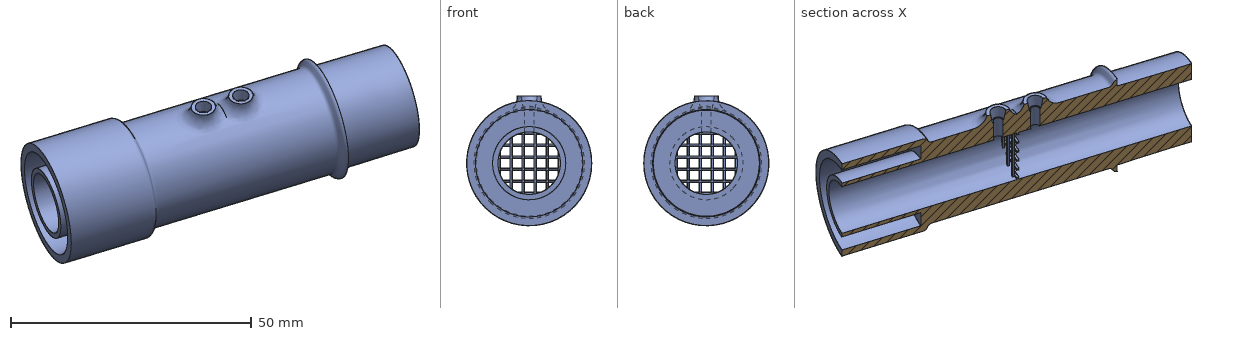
import cadquery as cq
import math

length = 80.0
body_radius = 23.0 / 2
bore_radius = 13.0 / 2

min_flank = 0.001

collar_radius = 26.06 / 2
collar_length = 18.5
collar_edge_radius = 1.2
collar_root_radius = 1.0
collar_step = collar_radius - body_radius
collar_arc_sum = collar_edge_radius + collar_root_radius
collar_blend_length = math.sqrt(2 * collar_step * collar_arc_sum - collar_step**2)
socket_radius = 22.36 / 2
socket_depth = 18.0
inner_tube_radius = 15.23 / 2

spigot_length = 17.0
spigot_tip_radius = 22.1 / 2
spigot_root_radius = 22.36 / 2
flange_radius = 26.0 / 2
flange_blend_length = 2.0
flange_edge_radius = 0.9
flange_root_radius = 0.9

port_pitch = 8.5
port_radius = 2.5
port_root_radius = 3.25
overall_height = 27.03
port_top = overall_height - collar_radius
port_mouth_radius = 3.4 / 2
port_step_radius = 2.5 / 2
port_hole_radius = 2.0 / 2
port_mouth_depth = 2.5

mesh_opening = 2.0
mesh_pitch = 2.5
mesh_bar_width = mesh_pitch - mesh_opening
mesh_thickness = 0.5
mesh_bars = 6


def add_flare(profile, big_radius, small_radius, start, blend_length, edge_radius, root_radius):
    """Run the profile from big_radius in to small_radius over blend_length along Y from start.

    A rounded edge arc, a straight flank and a hollow root arc follow each other
    tangentially. A negative blend_length runs towards -Y.
    """
    direction = math.copysign(1, blend_length)
    run = abs(blend_length)
    drop = big_radius - small_radius
    radius_sum = edge_radius + root_radius
    flank = math.sqrt(max(0, run**2 + drop**2 - 2 * drop * radius_sum))
    angle = math.atan2(drop - radius_sum, run) + math.atan2(radius_sum, flank)

    def edge_point(turn):
        x = big_radius - edge_radius * (1 - math.cos(turn))
        return (x, start + direction * edge_radius * math.sin(turn))

    def root_point(turn):
        x = small_radius + root_radius * (1 - math.cos(turn))
        return (x, start + direction * (run - root_radius * math.sin(turn)))

    profile = profile.threePointArc(edge_point(angle / 2), edge_point(angle))
    if flank > min_flank:
        profile = profile.lineTo(*root_point(angle))
    return profile.threePointArc(root_point(angle / 2), root_point(0))


def make_shell():
    """Revolved outside of the body: collar, tube, flange and spigot."""
    flange_face = length - spigot_length
    collar_side = cq.Workplane("XY").lineTo(collar_radius, 0).lineTo(collar_radius, collar_length)
    collar_side = add_flare(
        collar_side, collar_radius, body_radius, collar_length,
        collar_blend_length, collar_edge_radius, collar_root_radius,
    )
    collar_side = collar_side.lineTo(body_radius, length / 2).lineTo(0, length / 2).close()
    spigot_side = (
        cq.Workplane("XY")
        .moveTo(0, length)
        .lineTo(spigot_tip_radius, length)
        .lineTo(spigot_root_radius, flange_face)
        .lineTo(flange_radius, flange_face)
    )
    spigot_side = add_flare(
        spigot_side, flange_radius, body_radius, flange_face,
        -flange_blend_length, flange_edge_radius, flange_root_radius,
    )
    spigot_side = spigot_side.lineTo(body_radius, length / 2).lineTo(0, length / 2).close()
    axis_start, axis_end = (0, 0, 0), (0, 1, 0)
    collar_half = collar_side.revolve(360, axis_start, axis_end)
    spigot_half = spigot_side.revolve(360, axis_start, axis_end)
    return collar_half.union(spigot_half)


def cylinder_y(radius, start, end):
    """Solid cylinder about the tube axis between two Y positions."""
    return cq.Workplane("XZ", origin=(0, start, 0)).circle(radius).extrude(start - end)


def cylinder_z(radius, y, bottom, top):
    """Upright cylinder at X = 0, with its seam on the +Y side along the tube."""
    plane = cq.Plane(origin=(0, y, bottom), xDir=(0, 1, 0), normal=(0, 0, 1))
    return cq.Workplane(plane).circle(radius).extrude(top - bottom)


def make_port(y):
    """Boss blended into the tube by a large fillet and trimmed flat on top."""
    tube = cylinder_y(body_radius, y - port_pitch, y + port_pitch)
    boss_top = body_radius + 2 * port_root_radius
    boss = tube.union(cylinder_z(port_radius, y, 0, boss_top))
    foot = cq.selectors.BoxSelector(
        (-port_radius, y - port_radius, 0),
        (port_radius, y + port_radius, boss_top - port_root_radius),
    )
    boss = boss.edges(foot).fillet(port_root_radius)
    envelope = cylinder_z(collar_radius, y, -body_radius, port_top)
    return boss.intersect(envelope)


def make_port_hole(y):
    """Tapered mouth that steps down to a narrow hole into the bore."""
    hole = cylinder_z(port_hole_radius, y, 0, port_top)
    mouth = cq.Solid.makeCone(
        port_step_radius,
        port_mouth_radius,
        port_mouth_depth,
        cq.Vector(0, y, port_top - port_mouth_depth),
        cq.Vector(0, 0, 1),
    )
    return hole.union(cq.Workplane("XY").add(mouth))


def make_mesh():
    """Upright bars on the socket side of level bars, the layers touching at mid-length."""
    outer_radius = (bore_radius + inner_tube_radius) / 2
    bar_length = 2 * outer_radius
    front_y = (length - mesh_thickness) / 2
    back_y = (length + mesh_thickness) / 2
    bars = cq.Workplane("XY")
    for i in range(mesh_bars):
        offset = (i - (mesh_bars - 1) / 2) * mesh_pitch
        upright = cq.Workplane("XY").box(mesh_bar_width, mesh_thickness, bar_length)
        level = cq.Workplane("XY").box(bar_length, mesh_thickness, mesh_bar_width)
        bars = bars.union(upright.translate((offset, front_y, 0)))
        bars = bars.union(level.translate((0, back_y, offset)))
    return bars.intersect(cylinder_y(outer_radius, 0, length))


def make_socket():
    """Ring-shaped recess between the collar wall and the inner tube."""
    inner_tube = cylinder_y(inner_tube_radius, 0, socket_depth)
    return cylinder_y(socket_radius, 0, socket_depth).cut(inner_tube)


port_positions = [length / 2 - port_pitch / 2, length / 2 + port_pitch / 2]

result = make_shell()
for port_y in port_positions:
    result = result.union(make_port(port_y))

result = result.cut(make_socket())
result = result.cut(cylinder_y(bore_radius, 0, length))
for port_y in port_positions:
    result = result.cut(make_port_hole(port_y))

result = result.union(make_mesh())